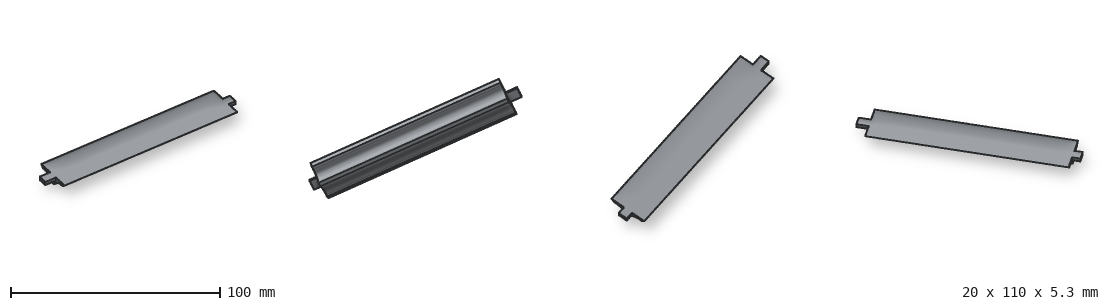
import cadquery as cq
import math

total_length = 110.0
width = 20.0
height = 5.3

lip_height = 1.5
lip_inset = 1.5
keel_width = 2.0
flank_radius = 7.0

tab_width = 5.0
tab_height = 2.0
front_tab_length = 6.0
back_tab_length = 4.1

body_length = total_length - front_tab_length - back_tab_length


def make_body():
    """Bar with bevelled lips and concave flanks running down to a flat keel."""
    half_width = width / 2
    lip_half_width = half_width - lip_inset
    keel_half_width = keel_width / 2
    flank_angle = math.acos(1 - (height - lip_height) / flank_radius)
    arc_start_x = keel_half_width + flank_radius * math.sin(flank_angle)
    arc_mid_x = arc_start_x - flank_radius * math.sin(flank_angle / 2)
    arc_mid_depth = lip_height + flank_radius * (1 - math.cos(flank_angle / 2))
    return (
        cq.Workplane("XZ", origin=(0, front_tab_length, 0))
        .moveTo(-half_width, 0)
        .lineTo(half_width, 0)
        .lineTo(lip_half_width, -lip_height)
        .lineTo(arc_start_x, -lip_height)
        .threePointArc((arc_mid_x, -arc_mid_depth), (keel_half_width, -height))
        .lineTo(-keel_half_width, -height)
        .threePointArc((-arc_mid_x, -arc_mid_depth), (-arc_start_x, -lip_height))
        .lineTo(-lip_half_width, -lip_height)
        .close()
        .extrude(-body_length)
    )


def make_tabs():
    """Rectangular bar along the full length; its ends stand out as the tabs."""
    return cq.Workplane("XY").box(
        tab_width, total_length, tab_height, centered=(True, False, False)
    ).translate((0, 0, -tab_height))


result = make_body().union(make_tabs())